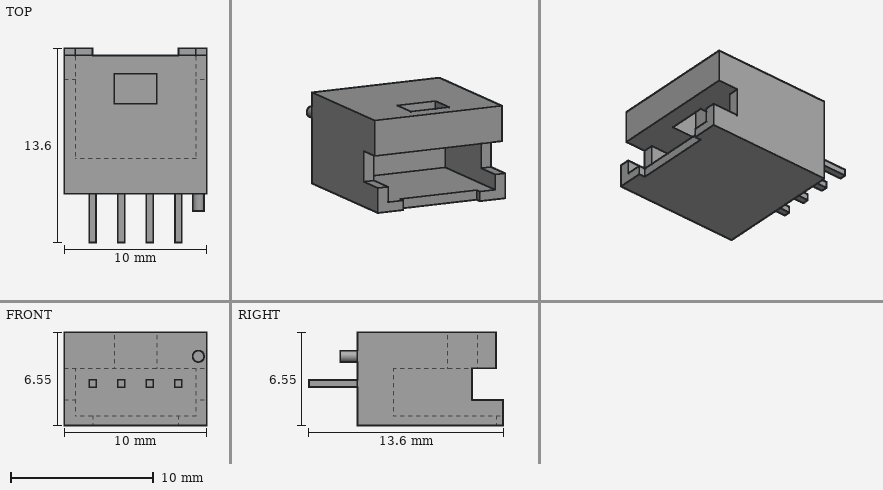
import cadquery as cq

housing_width = 10.0
housing_height = 6.55
housing_length = 10.2
top_wall_setback = 0.5
top_wall_front = housing_length - top_wall_setback

notch_bottom = 1.8
notch_top = 4.0
notch_depth = 2.18
notch_rear = housing_length - notch_depth

side_wall = 0.8
floor_thickness = 0.7
rear_wall = 2.5
cavity_width = housing_width - 2 * side_wall
cavity_top = notch_top

tab_width = 2.0

window_width = 3.0
window_length = 2.1
window_setback = 1.3
window_front = top_wall_front - window_setback

pin_count = 4
pin_pitch = 2.0
pin_size = 0.5
pin_projection = 3.4
pin_height = 2.95

peg_diameter = 0.8
peg_length = 1.2
peg_x = 4.4
peg_height = 4.85


def block(width, y_start, y_end, z_start, z_end, x_center=0.0):
    """Box symmetric about x_center, spanning the given Y and Z ranges."""
    return (
        cq.Workplane("XY")
        .box(width, y_end - y_start, z_end - z_start, centered=(True, False, False))
        .translate((x_center, y_start, z_start))
    )


def make_shell():
    """Outer housing with the stepped and notched side profile."""
    profile = [
        (0, 0),
        (housing_length, 0),
        (housing_length, notch_bottom),
        (notch_rear, notch_bottom),
        (notch_rear, notch_top),
        (top_wall_front, notch_top),
        (top_wall_front, housing_height),
        (0, housing_height),
    ]
    return (
        cq.Workplane("YZ")
        .polyline(profile)
        .close()
        .extrude(housing_width / 2, both=True)
    )


def make_cavity():
    """Space for the mating connector, open at the front."""
    return block(cavity_width, rear_wall, housing_length, floor_thickness, cavity_top)


def make_floor_relief():
    """Cut that sets the middle of the floor back between the front tabs."""
    return block(housing_width - 2 * tab_width, top_wall_front, housing_length, 0, notch_bottom)


def make_window():
    """Rectangular latch opening from the top face into the cavity."""
    return block(window_width, window_front - window_length, window_front, cavity_top, housing_height)


def make_pin(x):
    """Square pin that projects from the rear wall toward -Y, ending flush with the cavity's inner face."""
    pin_bottom = pin_height - pin_size / 2
    pin_top = pin_height + pin_size / 2
    return block(pin_size, -pin_projection, rear_wall, pin_bottom, pin_top, x_center=x)


def make_peg():
    """Locating peg that projects from the rear face toward -Y."""
    return (
        cq.Workplane("XZ")
        .center(peg_x, peg_height)
        .circle(peg_diameter / 2)
        .extrude(peg_length)
    )


result = make_shell().cut(make_cavity()).cut(make_floor_relief()).cut(make_window())
for index in range(pin_count):
    pin_x = (index - (pin_count - 1) / 2) * pin_pitch
    result = result.union(make_pin(pin_x))
result = result.union(make_peg())